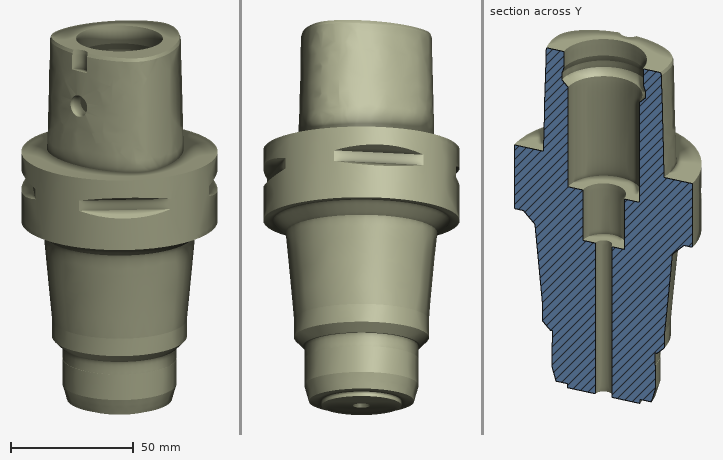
import cadquery as cq
import math

TOTAL_HEIGHT = 155.4
FLANGE_BOTTOM = 77.5
FLANGE_HEIGHT = 29.7
FLANGE_TOP = FLANGE_BOTTOM + FLANGE_HEIGHT
FLANGE_RADIUS = 80.0 / 2

COLLAR_TOP_RADIUS = 36.0
COLLAR_HEIGHT = 5.1
TAPER_TOP_RADIUS = COLLAR_TOP_RADIUS - COLLAR_HEIGHT
BODY_RADIUS = 27.5
TAPER_BOTTOM = 35.9
BODY_BOTTOM = 28.5
BODY_CHAMFER = 3.5
NECK_RADIUS = 23.2
NOSE_RADIUS = 23.3
NOSE_TOP = 19.3
NOSE_BOTTOM = 8.4
TIP_RADIUS = 21.5
TIP_HEIGHT = 1.9
PAD_RADIUS = 16.3

SHANK_BASE_RADIUS = 27.8
OUTLINE_POINTS = 36
SHANK_TAPER = 1 / 40
LOBE_ECCENTRICITY = 2.0
SHANK_CHAMFER_HEIGHT = 1.4
SHANK_CHAMFER_WIDTH = 0.5
SHANK_EDGE_Z = TOTAL_HEIGHT - SHANK_CHAMFER_HEIGHT
SHANK_EDGE_RADIUS = SHANK_BASE_RADIUS - SHANK_TAPER * (SHANK_EDGE_Z - FLANGE_TOP)

MOUTH_RADIUS = 17.7
MOUTH_DEPTH = 7.6
GROOVE_RADIUS = 18.6
GROOVE_START = 10.4
GROOVE_END = 13.4
BORE_RADIUS = 15.9
BORE_DEPTH = 62.2
COUNTERBORE_RADIUS = 9.2
COUNTERBORE_DEPTH = 85.5
COOLANT_RADIUS = 3.5

NOTCH_RADIUS = 4.5
NOTCH_DEPTH = 8.2
NOTCH_CENTRE_Y = -26.4
INDEX_HOLE_RADIUS = 4.5
INDEX_HOLE_Z = 132.4
INDEX_HOLE_FLOOR_Y = -19.0

GROOVE_COUNT = 4
GRIP_FLOOR_DISTANCE = 35.5
GRIP_FLOOR_HEIGHT = 4.4
GRIP_CENTRE_Z = 95.4
GRIP_MOUTH_HEIGHT = 8.9


def revolve_profile(points):
    """Revolve (radius, z) points about the Z axis."""
    return cq.Workplane("XZ").polyline(points).close().revolve(360, (0, 0), (0, 1))


def shank_outline(radius, z):
    """Closed polygon-taper outline, traced as the envelope of its support function."""

    def point(angle):
        support = radius - LOBE_ECCENTRICITY * math.sin(3 * angle)
        slope = -3 * LOBE_ECCENTRICITY * math.cos(3 * angle)
        x = support * math.cos(angle) - slope * math.sin(angle)
        y = support * math.sin(angle) + slope * math.cos(angle)
        return cq.Vector(x, y, z)

    points = [point(2 * math.pi * i / OUTLINE_POINTS) for i in range(OUTLINE_POINTS)]
    return cq.Wire.assembleEdges([cq.Edge.makeSpline(points, periodic=True)])


def make_body():
    return revolve_profile([
        (0, 0),
        (PAD_RADIUS, 0),
        (PAD_RADIUS, TIP_HEIGHT),
        (TIP_RADIUS, TIP_HEIGHT),
        (NOSE_RADIUS, NOSE_BOTTOM),
        (NOSE_RADIUS, NOSE_TOP),
        (NECK_RADIUS, NOSE_TOP),
        (NECK_RADIUS, BODY_BOTTOM - BODY_CHAMFER),
        (BODY_RADIUS - BODY_CHAMFER, BODY_BOTTOM - BODY_CHAMFER),
        (BODY_RADIUS, BODY_BOTTOM),
        (BODY_RADIUS, TAPER_BOTTOM),
        (TAPER_TOP_RADIUS, FLANGE_BOTTOM - COLLAR_HEIGHT),
        (COLLAR_TOP_RADIUS, FLANGE_BOTTOM),
        (FLANGE_RADIUS, FLANGE_BOTTOM),
        (FLANGE_RADIUS, FLANGE_TOP),
        (0, FLANGE_TOP),
    ])


def make_shank():
    base = shank_outline(SHANK_BASE_RADIUS, FLANGE_TOP)
    edge = shank_outline(SHANK_EDGE_RADIUS, SHANK_EDGE_Z)
    end = shank_outline(SHANK_EDGE_RADIUS - SHANK_CHAMFER_WIDTH, TOTAL_HEIGHT)
    taper = cq.Solid.makeLoft([base, edge], True)
    chamfer = cq.Solid.makeLoft([edge, end], True)
    return cq.Workplane("XY").add(taper).union(cq.Workplane("XY").add(chamfer))


def make_bore():
    groove_cone_end = GROOVE_END + GROOVE_RADIUS - BORE_RADIUS
    return revolve_profile([
        (0, TOTAL_HEIGHT),
        (MOUTH_RADIUS, TOTAL_HEIGHT),
        (MOUTH_RADIUS, TOTAL_HEIGHT - MOUTH_DEPTH),
        (GROOVE_RADIUS, TOTAL_HEIGHT - GROOVE_START),
        (GROOVE_RADIUS, TOTAL_HEIGHT - GROOVE_END),
        (BORE_RADIUS, TOTAL_HEIGHT - groove_cone_end),
        (BORE_RADIUS, TOTAL_HEIGHT - BORE_DEPTH),
        (COUNTERBORE_RADIUS, TOTAL_HEIGHT - BORE_DEPTH),
        (COUNTERBORE_RADIUS, TOTAL_HEIGHT - COUNTERBORE_DEPTH),
        (COOLANT_RADIUS, TOTAL_HEIGHT - COUNTERBORE_DEPTH),
        (COOLANT_RADIUS, 0),
        (0, 0),
    ])


def make_notch():
    return (
        cq.Workplane("XY", origin=(0, NOTCH_CENTRE_Y, TOTAL_HEIGHT - NOTCH_DEPTH))
        .circle(NOTCH_RADIUS)
        .extrude(NOTCH_DEPTH)
    )


def make_index_hole():
    return (
        cq.Workplane("XZ", origin=(0, INDEX_HOLE_FLOOR_Y, INDEX_HOLE_Z))
        .circle(INDEX_HOLE_RADIUS)
        .extrude(FLANGE_RADIUS + INDEX_HOLE_FLOOR_Y)
    )


def make_grip_groove(angle):
    """Trapezoidal cut across the flange rim, facing outward at the given angle."""
    half_floor = GRIP_FLOOR_HEIGHT / 2
    half_mouth = GRIP_MOUTH_HEIGHT / 2
    return (
        cq.Workplane("XZ", origin=(0, 0, GRIP_CENTRE_Z))
        .polyline([
            (GRIP_FLOOR_DISTANCE, -half_floor),
            (FLANGE_RADIUS, -half_mouth),
            (FLANGE_RADIUS, half_mouth),
            (GRIP_FLOOR_DISTANCE, half_floor),
        ])
        .close()
        .extrude(FLANGE_RADIUS, both=True)
        .rotate((0, 0, 0), (0, 0, 1), angle)
    )


result = make_body().union(make_shank())
result = result.cut(make_bore()).cut(make_notch()).cut(make_index_hole())
for index in range(GROOVE_COUNT):
    result = result.cut(make_grip_groove(45 + index * 360 / GROOVE_COUNT))